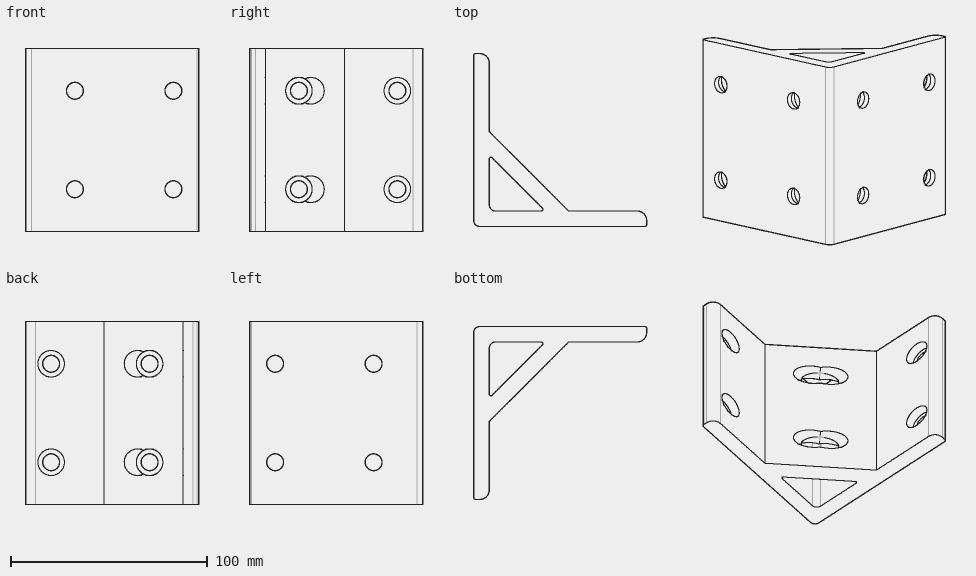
import cadquery as cq

leg_length = 88.0
height = 93.0
wall = 8.0

heel_radius = 3.0
tip_inner_radius = 5.0
tip_outer_radius = 1.0
pocket_tip_radius = 0.7

brace_outer_sum = 56.2
brace_inner_sum = 44.3

hole_diameter = 8.5
hole_spacing = 50.0
first_hole_offset = 25.0
counterbore_diameter = 13.5
counterbore_floor = 3.2


def round_edges(solid, points, radius):
    """Fillet the vertical edges that stand at the given XY points."""
    for x, y in points:
        edge = cq.selectors.NearestToPointSelector((x, y, height / 2))
        solid = solid.edges("|Z").edges(edge).fillet(radius)
    return solid


def make_body():
    """L-section with a diagonal brace, extruded upward."""
    brace_end = brace_outer_sum - wall
    body = (
        cq.Workplane("XY")
        .polyline([
            (0, 0),
            (leg_length, 0),
            (leg_length, wall),
            (brace_end, wall),
            (wall, brace_end),
            (wall, leg_length),
            (0, leg_length),
        ])
        .close()
        .extrude(height)
    )

    body = round_edges(body, [(0, 0)], heel_radius)
    body = round_edges(body, [(leg_length, wall), (wall, leg_length)], tip_inner_radius)
    return round_edges(body, [(leg_length, 0), (0, leg_length)], tip_outer_radius)


def make_pocket():
    """Triangular opening enclosed by the legs and the brace."""
    pocket_end = brace_inner_sum - wall
    pocket = (
        cq.Workplane("XY")
        .polyline([(wall, wall), (pocket_end, wall), (wall, pocket_end)])
        .close()
        .extrude(height)
    )
    pocket = round_edges(pocket, [(wall, wall)], heel_radius)
    return round_edges(pocket, [(pocket_end, wall), (wall, pocket_end)], pocket_tip_radius)


def make_bolt_cutter(point, direction):
    """Bolt hole from the outer face, widened inward past the brace for the screw head."""
    hole = cq.Solid.makeCylinder(hole_diameter / 2, leg_length, point, direction)
    head_start = point + direction * counterbore_floor
    head = cq.Solid.makeCylinder(counterbore_diameter / 2, leg_length, head_start, direction)
    return hole.fuse(head)


result = make_body().cut(make_pocket())

for offset in (first_hole_offset, first_hole_offset + hole_spacing):
    for z in ((height - hole_spacing) / 2, (height + hole_spacing) / 2):
        front_cutter = make_bolt_cutter(cq.Vector(offset, 0, z), cq.Vector(0, 0.9, 0))
        side_cutter = make_bolt_cutter(cq.Vector(0, offset, z), cq.Vector(0.9, 0, 0))
        result = result.cut(front_cutter).cut(side_cutter)